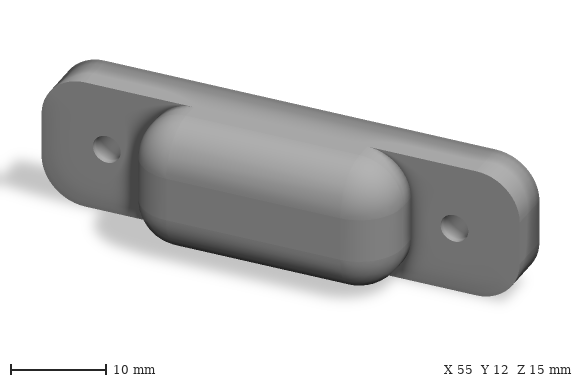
import cadquery as cq

length = 55.0
depth = 12.0
height = 15.0

plate_thickness = 5.0
corner_radius = 5.0
housing_length = 30.0

hole_diameter = 3.2
hole_spacing = 40.0


def rounded_block(block_length, block_depth):
    """Block with its back face on Y = 0, reaching toward -Y, with rounded XZ corners."""
    return (
        cq.Workplane("XZ")
        .rect(block_length, height)
        .extrude(block_depth)
        .edges("|Y")
        .fillet(corner_radius)
    )


plate = rounded_block(length, plate_thickness)

housing = rounded_block(housing_length, depth).faces("<Y").edges().fillet(corner_radius)

holes = (
    cq.Workplane("XZ")
    .pushPoints([(-hole_spacing / 2, 0), (hole_spacing / 2, 0)])
    .circle(hole_diameter / 2)
    .extrude(plate_thickness)
)

result = plate.union(housing).cut(holes)